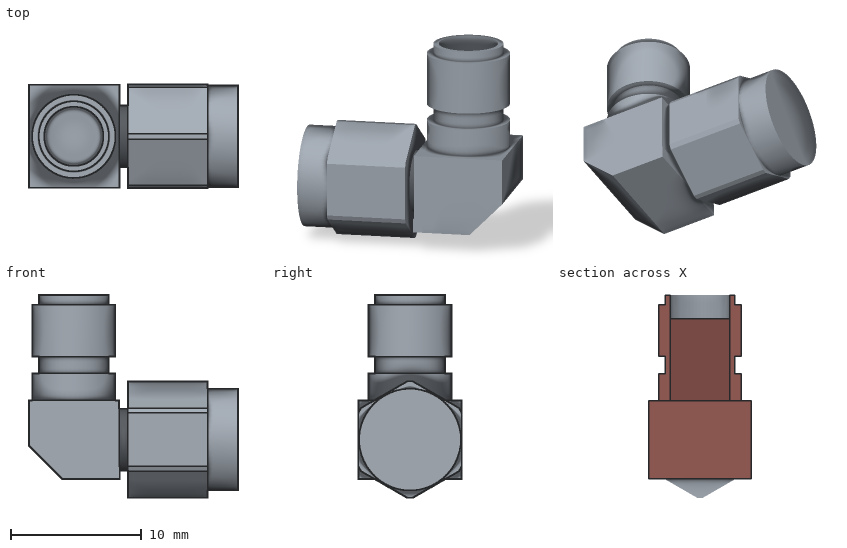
import cadquery as cq


block_face_x = 6.91
block_width = 7.9
block_top_z = 3.0
block_bottom_z = -3.03
heel_chamfer = 2.56
lip_length = 0.06
lip_top_z = -2.0

neck_diameter = 4.75
nut_start_x = 7.58
hex_end_x = 13.69
nut_end_x = 16.03
hex_across_flats = 7.93
hex_across_bevels = 8.91
collar_diameter = 7.79

barrel_axis_x = 3.45
barrel_diameter = 6.38
barrel_small_diameter = 5.37
barrel_bore_diameter = 4.54
groove_bottom_z = 5.07
groove_top_z = 6.35
rim_bottom_z = 10.32
barrel_top_z = 11.08
socket_depth = 1.81
insulator_top_z = barrel_top_z - socket_depth


def cylinder_x(diameter, start_x, end_x):
    """Cylinder on the nut axis."""
    return cq.Workplane("YZ", origin=(start_x, 0, 0)).circle(diameter / 2).extrude(end_x - start_x)


def cylinder_z(diameter, bottom_z, top_z):
    """Cylinder on the barrel axis."""
    base = cq.Workplane("XY", origin=(barrel_axis_x, 0, bottom_z))
    return base.circle(diameter / 2).extrude(top_z - bottom_z)


def hexagon_prism(across_flats, turn):
    """Hexagonal prism on the nut axis; with no turn, two flats face +Y and -Y."""
    length = hex_end_x - nut_start_x
    prism = (
        cq.Workplane("YZ", origin=(nut_start_x, 0, 0))
        .polygon(6, across_flats, circumscribed=True)
        .extrude(length)
    )
    return prism.rotate((0, 0, 0), (1, 0, 0), turn)


def make_neck():
    return cylinder_x(neck_diameter, block_face_x, nut_start_x)


def make_block(neck):
    """Elbow block with a chamfered heel and a thin lip that fits around the neck."""
    lip_face_x = block_face_x + lip_length
    outline = [
        (0, block_top_z),
        (block_face_x, block_top_z),
        (block_face_x, lip_top_z),
        (lip_face_x, lip_top_z),
        (lip_face_x, block_bottom_z),
        (heel_chamfer, block_bottom_z),
        (0, block_bottom_z + heel_chamfer),
    ]
    body = cq.Workplane("XZ").polyline(outline).close().extrude(block_width / 2, both=True)
    return body.cut(neck)


def make_nut():
    """Hexagonal nut with bevelled corners and a round collar."""
    flats = hexagon_prism(hex_across_flats, turn=0)
    bevels = hexagon_prism(hex_across_bevels, turn=30)
    collar = cylinder_x(collar_diameter, hex_end_x, nut_end_x)
    return flats.intersect(bevels).union(collar)


def make_barrel():
    """Stepped tube with a groove between its two wide bands."""
    core = cylinder_z(barrel_small_diameter, block_top_z, barrel_top_z)
    lower_band = cylinder_z(barrel_diameter, block_top_z, groove_bottom_z)
    upper_band = cylinder_z(barrel_diameter, groove_top_z, rim_bottom_z)
    bore = cylinder_z(barrel_bore_diameter, block_top_z, barrel_top_z)
    return core.union(lower_band).union(upper_band).cut(bore)


def make_insulator():
    """Plug that fills the barrel bore up to the floor of the socket."""
    return cylinder_z(barrel_bore_diameter, block_top_z, insulator_top_z)


neck = make_neck()
block = make_block(neck)
nut = make_nut()
barrel = make_barrel()
insulator = make_insulator()

result = cq.Compound.makeCompound([block.val(), neck.val(), nut.val(), barrel.val(), insulator.val()])